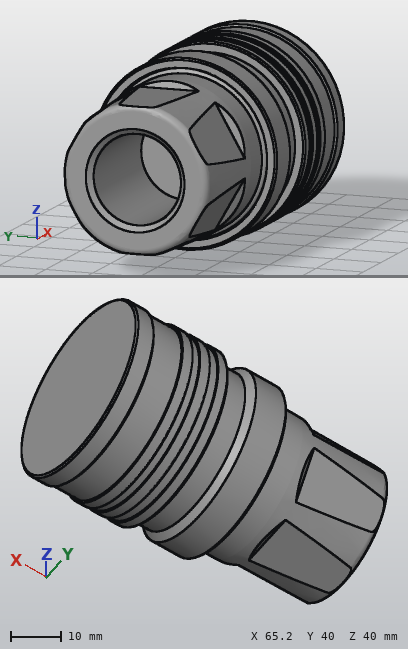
import cadquery as cq
import math

flat_end_x = 19.0
cone_end_x = 22.0
collar_start_x = 28.0
collar_slope_start_x = 35.65
collar_slope_end_x = 37.15
sleeve_start_x = 42.65
ribs_end_x = 53.9
end_band_start_x = 60.65
length = 65.15

rib_grooves = [(45.2, 47.3), (49.65, 51.5)]

sleeve_radius = 20.0
body_radius = 19.5
rib_groove_radius = 19.6
neck_radius = 17.9
nut_radius = 16.4
cone_angle = 2.5
nut_round = 1.5
edge_chamfer = 0.4

groove_radius = 17.5
shoulder_radius = 17.3
shoulder_round = shoulder_radius - nut_radius

flat_count = 6
across_flats = 30.0

bore_radius = 9.3
bore_chamfer = 1.2
bore_depth = collar_start_x


def make_body():
    """Revolve the stepped outer profile around the X axis."""
    slope = math.tan(math.radians(cone_angle))
    nut_face_radius = nut_radius - cone_end_x * slope
    round_tangent = nut_round * math.tan(math.radians(90 - cone_angle) / 2)
    round_start = (0, nut_face_radius - round_tangent)
    round_center = (nut_round, round_start[1])
    round_end_angle = math.radians(90 + cone_angle)
    round_mid_angle = (math.pi + round_end_angle) / 2

    def on_round(angle):
        return (
            round_center[0] + nut_round * math.cos(angle),
            round_center[1] + nut_round * math.sin(angle),
        )

    shoulder_x = collar_start_x + shoulder_round
    shoulder_mid = (
        shoulder_x - shoulder_round * math.cos(math.pi / 4),
        nut_radius + shoulder_round * math.sin(math.pi / 4),
    )

    profile = (
        cq.Workplane("XY")
        .moveTo(0, 0)
        .lineTo(*round_start)
        .threePointArc(on_round(round_mid_angle), on_round(round_end_angle))
        .lineTo(cone_end_x, nut_radius)
        .lineTo(collar_start_x, nut_radius)
        .threePointArc(shoulder_mid, (shoulder_x, shoulder_radius))
        .lineTo(shoulder_x, groove_radius)
        .lineTo(collar_start_x, groove_radius)
        .lineTo(collar_start_x, body_radius - edge_chamfer)
        .lineTo(collar_start_x + edge_chamfer, body_radius)
        .lineTo(collar_slope_start_x, body_radius)
        .lineTo(collar_slope_end_x, neck_radius)
        .lineTo(sleeve_start_x, neck_radius)
        .lineTo(sleeve_start_x, sleeve_radius - edge_chamfer)
        .lineTo(sleeve_start_x + edge_chamfer, sleeve_radius)
        .lineTo(ribs_end_x, sleeve_radius)
        .lineTo(ribs_end_x, body_radius)
        .lineTo(end_band_start_x, body_radius)
        .lineTo(end_band_start_x + edge_chamfer, sleeve_radius)
        .lineTo(length - edge_chamfer, sleeve_radius)
        .lineTo(length, sleeve_radius - edge_chamfer)
        .lineTo(length, 0)
        .close()
    )
    return profile.revolve(360, (0, 0, 0), (1, 0, 0))


def cut_rib_grooves(body):
    """Cut the square-sided grooves that part the front of the sleeve into ribs."""
    cutter_radius = 1.1 * sleeve_radius
    for start_x, end_x in rib_grooves:
        ring = (
            cq.Workplane("YZ")
            .workplane(offset=start_x)
            .circle(cutter_radius)
            .circle(rib_groove_radius)
            .extrude(end_x - start_x)
        )
        body = body.cut(ring)
    return body


def cut_wrench_flats(body):
    """Cut the hexagon flats, each running out on a 45 degree ramp."""
    flat_height = across_flats / 2
    cut_height = 2 * (nut_radius - flat_height)
    cutter = (
        cq.Workplane("XZ")
        .moveTo(0, flat_height)
        .lineTo(flat_end_x, flat_height)
        .lineTo(flat_end_x + cut_height, flat_height + cut_height)
        .lineTo(0, flat_height + cut_height)
        .close()
        .extrude(nut_radius, both=True)
    )
    for index in range(flat_count):
        turn = index * 360 / flat_count
        body = body.cut(cutter.rotate((0, 0, 0), (1, 0, 0), turn))
    return body


def cut_bore(body):
    """Cut the blind bore with its chamfered mouth."""
    bore = (
        cq.Workplane("XY")
        .moveTo(0, 0)
        .lineTo(0, bore_radius + bore_chamfer)
        .lineTo(bore_chamfer, bore_radius)
        .lineTo(bore_depth, bore_radius)
        .lineTo(bore_depth, 0)
        .close()
        .revolve(360, (0, 0, 0), (1, 0, 0))
    )
    return body.cut(bore)


result = make_body()
result = cut_rib_grooves(result)
result = cut_wrench_flats(result)
result = cut_bore(result)